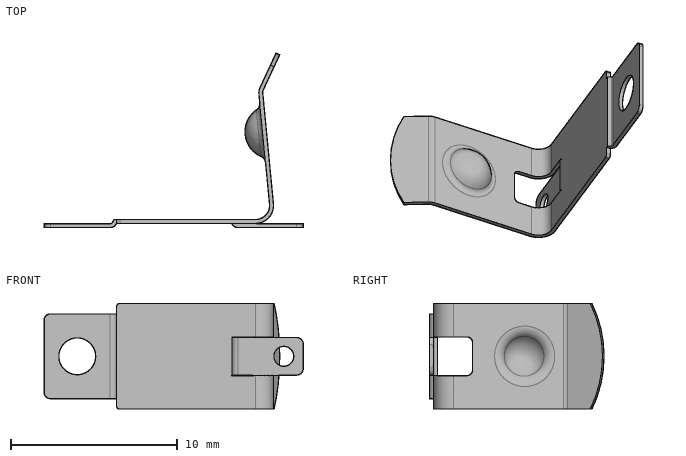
import cadquery as cq
import math

length = 15.57
height = 10.5
body_width = 6.35
sheet = 0.25

base_start = 4.35
base_corner_radius = 0.2
base_bottom = sheet
base_top = base_bottom + sheet

joggle_run = 0.37
joggle_flat_end = 0.14
joggle_outer_radius = 0.4
joggle_inner_radius = joggle_outer_radius - sheet
joggle_inner_angle = 45.0

mount_width = 5.1
mount_corner_radius = 0.39
mount_hole_diameter = 2.2
mount_hole_x = 2.0

solder_start = 11.27
solder_width = 2.27
solder_corner_radius = 0.42
solder_hole_diameter = 1.18
solder_hole_x = 14.39
slot_width = 2.3
slot_top = 2.58
slot_corner_radius = 0.31

arm_bend_x = 12.69
arm_bend_radius = 1.09
arm_lean = 5.5
lip_bend_y = 8.03
lip_bend_radius = 0.72
lip_angle = 25.0
lip_crown = 0.81

dimple_y = 5.7
dimple_height = 1.06
dimple_radius = 1.62
dimple_root_radius = 0.47
dimple_rim_radius = 1.814


def polar(center, radius, degrees):
    """Point at a radius and an angle from +X about a center."""
    angle = math.radians(degrees)
    return (center[0] + radius * math.cos(angle), center[1] + radius * math.sin(angle))


def extrude_across(profile, width):
    return profile.extrude(width / 2, both=True)


def tab_hole_cutter(x, diameter):
    """Cutter along Y for a tab hole."""
    return (
        cq.Workplane("XZ", origin=(x, sheet, 0))
        .circle(diameter / 2)
        .extrude(sheet)
    )


def make_tab(root_x, end_x, width, corner_radius, hole_x, hole_diameter):
    """Flat tab joined to the base at root_x by a joggle; root_x < end_x or the reverse."""
    side = math.copysign(1, end_x - root_x)
    bend_x = root_x + side * joggle_run

    def on_bend(radius, degrees):
        x, y = polar((0, joggle_outer_radius), radius, 270 - degrees)
        return (bend_x + side * x, y)

    outer_sweep = math.degrees(math.asin(joggle_run / joggle_outer_radius))
    profile = (
        cq.Workplane("XY")
        .moveTo(end_x, 0)
        .lineTo(bend_x, 0)
        .threePointArc(on_bend(joggle_outer_radius, outer_sweep / 2), (root_x, base_bottom))
        .lineTo(root_x, base_top)
        .lineTo(root_x + side * joggle_flat_end, base_top)
        .lineTo(*on_bend(joggle_inner_radius, joggle_inner_angle))
        .threePointArc(on_bend(joggle_inner_radius, joggle_inner_angle / 2), (bend_x, sheet))
        .lineTo(end_x, sheet)
        .close()
    )
    end_face = ">X" if side > 0 else "<X"
    tab = extrude_across(profile, width).faces(end_face).edges("|Y").fillet(corner_radius)
    return tab.cut(tab_hole_cutter(hole_x, hole_diameter))


arm_center = (arm_bend_x, base_bottom + arm_bend_radius)
arm_inner_radius = arm_bend_radius - sheet
arm_inner_start = polar(arm_center, arm_inner_radius, arm_lean)
lean_slope = math.tan(math.radians(arm_lean))


def inner_face_point(y):
    """Point on the straight dimpled face of the arm at height y."""
    return (arm_inner_start[0] - (y - arm_inner_start[1]) * lean_slope, y)


lip_center = polar(inner_face_point(lip_bend_y), lip_bend_radius, arm_lean)
lip_face_angle = 180 - lip_angle
lip_inner_start = polar(lip_center, lip_bend_radius, lip_face_angle)
lip_length = (height - lip_inner_start[1]) / math.cos(math.radians(lip_angle))


def make_strip():
    """Base, arm bend, leaning arm and lip as one bent strip."""
    lip_outer_radius = lip_bend_radius - sheet
    lip_outer_start = polar(lip_center, lip_outer_radius, lip_face_angle)
    lip_direction = 90 - lip_angle
    arm_middle = (arm_lean - 90) / 2
    lip_middle = (180 + arm_lean + lip_face_angle) / 2
    profile = (
        cq.Workplane("XY")
        .moveTo(base_start, base_bottom)
        .lineTo(arm_bend_x, base_bottom)
        .threePointArc(
            polar(arm_center, arm_bend_radius, arm_middle),
            polar(arm_center, arm_bend_radius, arm_lean),
        )
        .lineTo(*polar(lip_center, lip_outer_radius, 180 + arm_lean))
        .threePointArc(polar(lip_center, lip_outer_radius, lip_middle), lip_outer_start)
        .lineTo(*polar(lip_outer_start, lip_length, lip_direction))
        .lineTo(*polar(lip_inner_start, lip_length, lip_direction))
        .lineTo(*lip_inner_start)
        .threePointArc(
            polar(lip_center, lip_bend_radius, lip_middle),
            polar(lip_center, lip_bend_radius, 180 + arm_lean),
        )
        .lineTo(*arm_inner_start)
        .threePointArc(
            polar(arm_center, arm_inner_radius, arm_middle), (arm_bend_x, base_top)
        )
        .lineTo(base_start, base_top)
        .close()
    )
    strip = extrude_across(profile, body_width)
    return strip.faces("<X").edges("|Y").fillet(base_corner_radius)


def make_lip_trim():
    """Cutter that leaves a crowned, circular-arc end on the lip."""
    lip = math.radians(lip_angle)
    plane = cq.Plane(
        origin=(*lip_inner_start, 0),
        xDir=(math.sin(lip), math.cos(lip), 0),
        normal=(math.cos(lip), -math.sin(lip), 0),
    )
    half_width = body_width / 2
    shoulder = lip_length - lip_crown
    beyond = lip_length + sheet
    return (
        cq.Workplane(plane)
        .moveTo(shoulder, -half_width)
        .threePointArc((lip_length, 0), (shoulder, half_width))
        .lineTo(beyond, half_width)
        .lineTo(beyond, -half_width)
        .close()
        .extrude(2 * sheet, both=True)
    )


def make_slot():
    """Slot through the base end, bend and lower arm, rounded at its top corners."""
    slot_length = length - solder_start
    return (
        cq.Workplane("XY", origin=(solder_start + slot_length / 2, slot_top / 2, 0))
        .box(slot_length, slot_top, slot_width)
        .faces(">Y")
        .edges("|X")
        .fillet(slot_corner_radius)
    )


def make_dimple():
    """Hollow spherical dimple of sheet thickness, blended into the arm by a flared root."""
    lean = math.radians(arm_lean)
    plane = cq.Plane(
        origin=(*inner_face_point(dimple_y), 0),
        xDir=(-math.sin(lean), math.cos(lean), 0),
        normal=(0, 0, 1),
    )
    sphere_center = (0, dimple_height - dimple_radius)
    root_center = (dimple_rim_radius, dimple_root_radius)
    blend_angle = math.degrees(
        math.atan2(root_center[1] - sphere_center[1], root_center[0])
    )
    cap_middle = (90 + blend_angle) / 2
    root_middle = (180 + blend_angle + 270) / 2
    hollow_radius = dimple_radius - sheet
    back_root_radius = dimple_root_radius + sheet
    return (
        cq.Workplane(plane)
        .moveTo(0, dimple_height)
        .threePointArc(
            polar(sphere_center, dimple_radius, cap_middle),
            polar(sphere_center, dimple_radius, blend_angle),
        )
        .threePointArc(
            polar(root_center, dimple_root_radius, root_middle), (dimple_rim_radius, 0)
        )
        .lineTo(dimple_rim_radius, -sheet)
        .threePointArc(
            polar(root_center, back_root_radius, root_middle),
            polar(sphere_center, hollow_radius, blend_angle),
        )
        .threePointArc(
            polar(sphere_center, hollow_radius, cap_middle), (0, dimple_height - sheet)
        )
        .close()
        .revolve(360, (0, 0), (0, 1))
    )


def make_dimple_opening():
    """Disc of arm sheet that the dimple replaces."""
    lean = math.radians(arm_lean)
    return (
        cq.Workplane(
            cq.Plane(
                origin=(*inner_face_point(dimple_y), 0),
                xDir=(0, 0, 1),
                normal=(math.cos(lean), math.sin(lean), 0),
            )
        )
        .circle(dimple_rim_radius)
        .extrude(sheet)
    )


mount_tab = make_tab(
    base_start, 0, mount_width, mount_corner_radius, mount_hole_x, mount_hole_diameter
)
solder_tab = make_tab(
    solder_start, length, solder_width, solder_corner_radius, solder_hole_x, solder_hole_diameter
)
strip = make_strip().cut(make_lip_trim()).cut(make_slot()).cut(make_dimple_opening())
result = strip.union(make_dimple()).union(mount_tab).union(solder_tab)